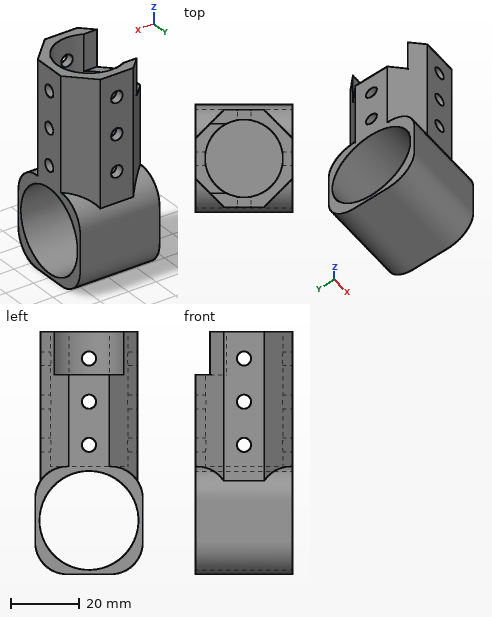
import cadquery as cq
import math

INCH = 25.4

ring_size = 1.25 * INCH
ring_length = 1.125 * INCH
ring_corner_radius = 0.375 * INCH
ring_bore_diameter = 1.143 * INCH
ring_center_z = ring_size / 2

total_height = 2.8125 * INCH
post_sides = 8
post_across_flats = ring_length
post_bore_diameter = 0.9 * INCH
post_bore_floor_z = ring_size

hole_diameter = 4.1
hole_count = 3
hole_pitch = 0.5 * INCH
top_hole_depth = 0.3125 * INCH

notch_width = 0.8 * INCH
notch_height = 0.5 * INCH


def make_ring():
    """Rounded square sleeve, without its bore."""
    return (
        cq.Workplane("XY")
        .box(ring_length, ring_size, ring_size)
        .edges("|X")
        .fillet(ring_corner_radius)
        .translate((0, 0, ring_center_z))
    )


def make_post():
    """Regular octagonal post with flats facing X and Y, rooted inside the ring."""
    flat_to_corner_angle = math.pi / post_sides
    across_corners = post_across_flats / math.cos(flat_to_corner_angle)
    return (
        cq.Workplane("XY")
        .polygon(post_sides, across_corners)
        .extrude(total_height - ring_center_z)
        .rotate((0, 0, 0), (0, 0, 1), math.degrees(flat_to_corner_angle))
        .translate((0, 0, ring_center_z))
    )


def make_ring_bore():
    """Through bore of the ring along X."""
    return (
        cq.Workplane("YZ", origin=(-ring_length / 2, 0, ring_center_z))
        .circle(ring_bore_diameter / 2)
        .extrude(ring_length)
    )


def make_post_bore():
    """Blind bore from the top of the post down to the top of the ring."""
    return (
        cq.Workplane("XY", origin=(0, 0, post_bore_floor_z))
        .circle(post_bore_diameter / 2)
        .extrude(total_height - post_bore_floor_z)
    )


def make_cross_holes(plane):
    """Column of holes through the whole post, normal to the given plane."""
    top_hole_z = total_height - top_hole_depth
    hole_centers = [(0, top_hole_z - i * hole_pitch) for i in range(hole_count)]
    return (
        cq.Workplane(plane)
        .pushPoints(hole_centers)
        .circle(hole_diameter / 2)
        .extrude(post_across_flats / 2, both=True)
    )


def make_notch():
    """Rectangular opening from the -X flat to the post axis."""
    notch_depth = post_across_flats / 2
    return (
        cq.Workplane("XY", origin=(-notch_depth / 2, 0, total_height - notch_height))
        .rect(notch_depth, notch_width)
        .extrude(notch_height)
    )


result = (
    make_ring()
    .union(make_post())
    .cut(make_ring_bore())
    .cut(make_post_bore())
    .cut(make_cross_holes("XZ"))
    .cut(make_cross_holes("YZ"))
    .cut(make_notch())
)